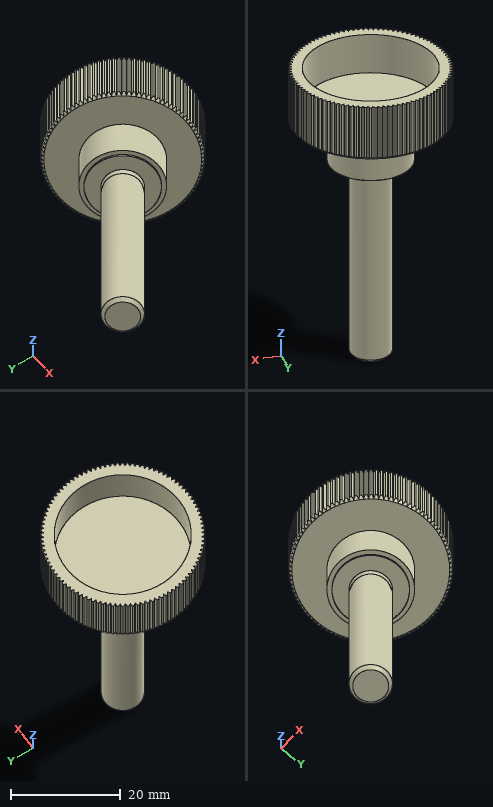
import cadquery as cq
import math

total_height = 59.5
stem_length = 40.0
knob_height = 11.0
knob_radius = 15.0
boss_diameter = 16.0
stem_radius = 4.0

seat_radius = 7.1
seat_height = 0.4

neck_radius = 3.75
neck_taper_height = 0.95
tip_chamfer = 0.7

knob_chamfer = 0.6
pocket_radius = 12.5
pocket_depth = 8.0
groove_count = 100
groove_depth = 0.5
groove_width = 0.58

boss_radius = boss_diameter / 2
knob_bottom = total_height - knob_height
pocket_floor = total_height - pocket_depth
boss_bottom = stem_length + seat_height
neck_middle = stem_length - neck_taper_height
neck_bottom = neck_middle - neck_taper_height


def make_body():
    """Revolve the half section of knob, boss and stem about the Z axis."""
    half_section = [
        (0, 0),
        (stem_radius - tip_chamfer, 0),
        (stem_radius, tip_chamfer),
        (stem_radius, neck_bottom),
        (neck_radius, neck_middle),
        (stem_radius, stem_length),
        (seat_radius, stem_length),
        (seat_radius, boss_bottom),
        (boss_radius, boss_bottom),
        (boss_radius, knob_bottom),
        (knob_radius - knob_chamfer, knob_bottom),
        (knob_radius, knob_bottom + knob_chamfer),
        (knob_radius, total_height),
        (pocket_radius, total_height),
        (pocket_radius, pocket_floor),
        (0, pocket_floor),
    ]
    return cq.Workplane("XZ").polyline(half_section).close().revolve(360, (0, 0), (0, 1))


def polar_point(radius, angle):
    """Point at a given radius and angle about the Z axis."""
    return radius * math.cos(angle), radius * math.sin(angle)


def make_knurl_envelope():
    """Extrude the outline with V grooves that the knob is trimmed to."""
    pitch = 2 * math.pi / groove_count
    half_mouth = math.asin(groove_width / 2 / knob_radius)
    start = polar_point(knob_radius, -half_mouth)
    outline = cq.Workplane("XY").workplane(offset=knob_bottom).moveTo(*start)
    for index in range(groove_count):
        center = index * pitch
        next_center = center + pitch
        crest_middle = polar_point(knob_radius, center + pitch / 2)
        crest_end = polar_point(knob_radius, next_center - half_mouth)
        outline = (
            outline
            .lineTo(*polar_point(knob_radius - groove_depth, center))
            .lineTo(*polar_point(knob_radius, center + half_mouth))
            .threePointArc(crest_middle, crest_end)
        )
    return outline.close().extrude(knob_height)


def make_stem_envelope():
    """Cylinder that keeps everything below the knob."""
    return cq.Workplane("XY").circle(knob_radius).extrude(knob_bottom)


result = make_body().intersect(make_knurl_envelope().union(make_stem_envelope()))